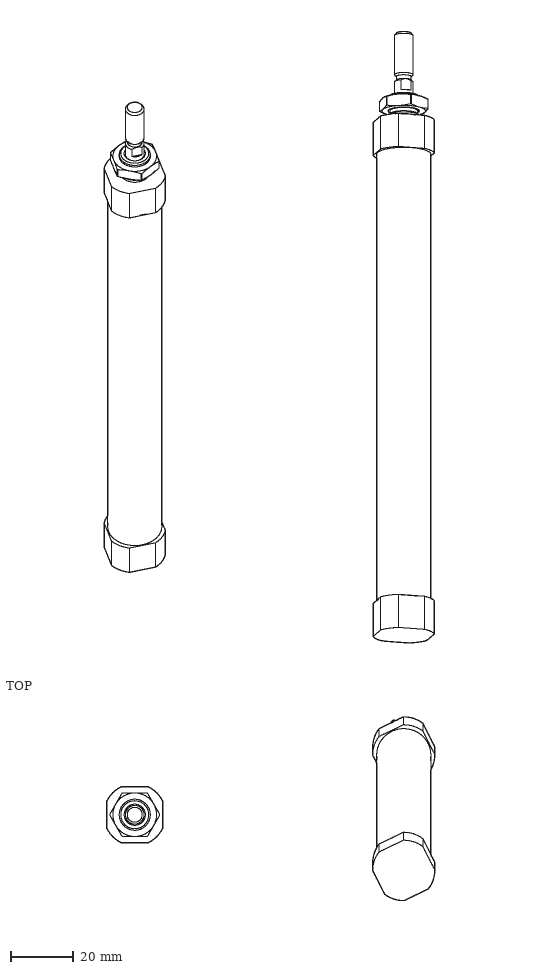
import cadquery as cq
import math

total_length = 199.6
cap_height = 11.0
cap_top = 170.5
cap_width = 18.0
cap_corner_dia = 20.0
tube_dia = 17.4

neck_top = 178.8
neck_dia = 10.0
neck_root_dia = 9.0
undercut_dia = 9.4
neck_chamfer = (neck_dia - neck_root_dia) / 2
collar_bottom = 171.7
collar_top = 172.3
bore_mouth_dia = 6.8

nut_bottom = 173.9
nut_height = 3.8
nut_flats = 14.0
nut_corner_dia = 16.0
nut_chamfer_angle = 20

rod_dia = 6.0
rod_bottom = cap_top - cap_height
rod_tip_dia = 4.8
rod_tip_height = 0.8
relief_dia = 4.8
relief_bottom = 184.0
relief_top = 185.2
relief_chamfer = (rod_dia - relief_dia) / 2
flat_width = 5.0
flat_bottom = 180.2
flat_top = relief_bottom


def cylinder(diameter, bottom, top):
    """Solid cylinder on the Z axis between two heights."""
    return cq.Workplane("XY").workplane(offset=bottom).circle(diameter / 2).extrude(top - bottom)


def revolve_profile(points):
    """Turn an outline of (radius, height) points about the Z axis."""
    return cq.Workplane("XZ").polyline(points).close().revolve(360, (0, 0, 0), (0, 1, 0))


def make_cap(bottom):
    """Square end cap with its corners rounded about the Z axis."""
    block = cq.Workplane("XY").workplane(offset=bottom).rect(cap_width, cap_width).extrude(cap_height)
    return block.intersect(cylinder(cap_corner_dia, bottom, bottom + cap_height))


def make_neck():
    """Threaded neck with an undercut, a thin collar and a groove below the thread."""
    root_radius = neck_root_dia / 2
    neck_radius = neck_dia / 2
    return revolve_profile([
        (0, cap_top),
        (undercut_dia / 2, cap_top),
        (undercut_dia / 2, collar_bottom),
        (neck_radius, collar_bottom),
        (neck_radius, collar_top),
        (root_radius, collar_top + neck_chamfer),
        (root_radius, nut_bottom),
        (neck_radius, nut_bottom),
        (neck_radius, neck_top - neck_chamfer),
        (root_radius, neck_top),
        (0, neck_top),
    ])


def make_bore():
    """Bore for the rod, countersunk at the neck face."""
    mouth_depth = (bore_mouth_dia - rod_dia) / 2
    return revolve_profile([
        (0, rod_bottom),
        (rod_dia / 2, rod_bottom),
        (rod_dia / 2, neck_top - mouth_depth),
        (bore_mouth_dia / 2, neck_top),
        (0, neck_top),
    ])


def make_housing():
    """Tube between two caps, with the neck on top and a bore for the rod."""
    tube = cylinder(tube_dia, cap_height, cap_top - cap_height)
    body = make_cap(0).union(tube).union(make_cap(cap_top - cap_height)).union(make_neck())
    return body.cut(make_bore())


def make_nut():
    """Hexagonal nut fitted on the neck."""
    nut_top = nut_bottom + nut_height
    corner_distance = nut_flats / math.cos(math.pi / 6)
    hexagon = cq.Workplane("XY").workplane(offset=nut_bottom).polygon(6, corner_distance).extrude(nut_height)
    chamfer_height = (nut_corner_dia - nut_flats) / 2 * math.tan(math.radians(nut_chamfer_angle))
    turned_envelope = revolve_profile([
        (0, nut_bottom),
        (nut_flats / 2, nut_bottom),
        (nut_corner_dia / 2, nut_bottom + chamfer_height),
        (nut_corner_dia / 2, nut_top - chamfer_height),
        (nut_flats / 2, nut_top),
        (0, nut_top),
    ])
    turned = hexagon.intersect(turned_envelope)
    return turned.cut(cylinder(neck_dia, nut_bottom, nut_top))


def make_rod():
    """Piston rod with a relief groove, wrench flats and a chamfered tip."""
    rod = revolve_profile([
        (0, rod_bottom),
        (rod_dia / 2, rod_bottom),
        (rod_dia / 2, relief_bottom - relief_chamfer),
        (relief_dia / 2, relief_bottom),
        (relief_dia / 2, relief_top),
        (rod_dia / 2, relief_top + relief_chamfer),
        (rod_dia / 2, total_length - rod_tip_height),
        (rod_tip_dia / 2, total_length),
        (0, total_length),
    ])
    for side in (-1, 1):
        cutter = (
            cq.Workplane("XY")
            .workplane(offset=flat_bottom)
            .center(side * (flat_width + rod_dia) / 2, 0)
            .rect(rod_dia, rod_dia)
            .extrude(flat_top - flat_bottom)
        )
        rod = rod.cut(cutter)
    return rod


housing = make_housing()
nut = make_nut()
rod = make_rod()

result = cq.Compound.makeCompound([housing.val(), nut.val(), rod.val()])